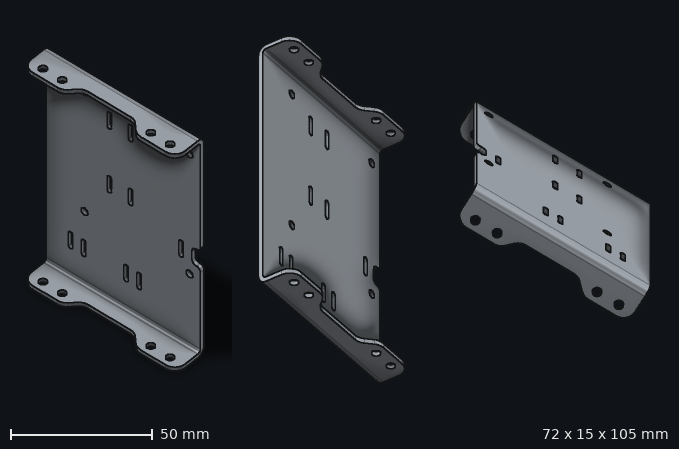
import cadquery as cq
import math

width = 72.0
depth = 15.0
height = 105.0
sheet = 2.0
inner_bend_radius = 1.5
outer_bend_radius = inner_bend_radius + sheet
front_y = -depth / 2

corner_radius = 5.0
relief_depth = 5.5
relief_floor_half_width = 9.9
relief_angle = math.radians(45)
relief_blend_radius = 5.0
flange_hole_diameter = 3.3
flange_hole_inset = 4.0
flange_hole_outer_x = 29.7
flange_hole_spacing = 9.0

plate_hole_diameter = 3.2
plate_hole_right_x = 30.9
plate_hole_top_z = 42.0
plate_hole_spacing_x = 49.0
plate_hole_spacing_z = 58.0

slot_length = 8.0
slot_width = 2.0
upper_slot_xs = (-6.6, 3.4)
upper_slot_zs = (35.2, 4.3)
lower_slot_left_xs = (-24.7, 1.3)
lower_slot_spacing = 6.1
lower_slot_z = -33.8
side_slot_x = 27.0

notch_z = -6.1
notch_depth = 4.0
notch_height = 8.0
notch_radius = notch_depth / 2
mouth_radius = 1.9


def make_channel():
    """Back plate with two forward flanges, bent with constant thickness."""
    outer = cq.Workplane("XY").box(width, depth, height)
    outer = outer.edges("|X and >Y").fillet(outer_bend_radius)
    inner = cq.Workplane("XY").box(width, depth, height - 2 * sheet)
    inner = inner.edges("|X and >Y").fillet(inner_bend_radius)
    channel = outer.cut(inner.translate((0, -sheet, 0)))
    return channel.edges("|Z and <Y").fillet(corner_radius)


def make_flange_relief():
    """Trapezoidal front relief whose sloped sides blend in with tangent arcs."""
    floor_y = front_y + relief_depth
    r = relief_blend_radius
    tangent_length = r * math.tan(relief_angle / 2)
    floor_corner_x = relief_floor_half_width + tangent_length
    mouth_corner_x = floor_corner_x + relief_depth / math.tan(relief_angle)
    mouth_x = mouth_corner_x + tangent_length

    arc_dx = r * math.sin(relief_angle)
    arc_dy = r * (1 - math.cos(relief_angle))
    mid_dx = r * math.sin(relief_angle / 2)
    mid_dy = r * (1 - math.cos(relief_angle / 2))
    floor_x = relief_floor_half_width

    return (
        cq.Workplane("XY")
        .moveTo(-mouth_x, front_y)
        .threePointArc((-mouth_x + mid_dx, front_y + mid_dy), (-mouth_x + arc_dx, front_y + arc_dy))
        .lineTo(-floor_x - arc_dx, floor_y - arc_dy)
        .threePointArc((-floor_x - mid_dx, floor_y - mid_dy), (-floor_x, floor_y))
        .lineTo(floor_x, floor_y)
        .threePointArc((floor_x + mid_dx, floor_y - mid_dy), (floor_x + arc_dx, floor_y - arc_dy))
        .lineTo(mouth_x - arc_dx, front_y + arc_dy)
        .threePointArc((mouth_x - mid_dx, front_y + mid_dy), (mouth_x, front_y))
        .close()
        .extrude(height / 2, both=True)
    )


def make_flange_holes():
    """Two mirrored pairs of holes through both flanges."""
    y = front_y + flange_hole_inset
    inner_x = flange_hole_outer_x - flange_hole_spacing
    points = [(side * x, y) for side in (-1, 1) for x in (inner_x, flange_hole_outer_x)]
    return (
        cq.Workplane("XY")
        .pushPoints(points)
        .circle(flange_hole_diameter / 2)
        .extrude(height / 2, both=True)
    )


def make_plate_holes():
    xs = (plate_hole_right_x - plate_hole_spacing_x, plate_hole_right_x)
    zs = (plate_hole_top_z - plate_hole_spacing_z, plate_hole_top_z)
    return (
        cq.Workplane("XZ")
        .pushPoints([(x, z) for x in xs for z in zs])
        .circle(plate_hole_diameter / 2)
        .extrude(depth / 2, both=True)
    )


def make_plate_slots():
    points = [(x, z) for x in upper_slot_xs for z in upper_slot_zs]
    for left_x in lower_slot_left_xs:
        points.append((left_x, lower_slot_z))
        points.append((left_x + lower_slot_spacing, lower_slot_z))
    points.append((side_slot_x, notch_z))
    return (
        cq.Workplane("XZ")
        .pushPoints(points)
        .slot2D(slot_length, slot_width, 90)
        .extrude(depth / 2, both=True)
    )


def cut_edge_notch(body):
    """Cut the edge notch, then round its inner corners and its mouth."""
    notch = (
        cq.Workplane("XY")
        .box(2 * notch_depth, depth, notch_height)
        .edges("|Y and <X")
        .fillet(notch_radius)
        .translate((width / 2, 0, notch_z))
    )
    mouth_edges = cq.selectors.BoxSelector(
        (width / 2 - notch_radius / 2, -depth, notch_z - notch_height),
        (width / 2 + notch_radius / 2, depth, notch_z + notch_height),
    )
    return body.cut(notch).edges("|Y").edges(mouth_edges).fillet(mouth_radius)


result = make_channel()
result = result.cut(make_flange_relief())
result = result.cut(make_flange_holes())
result = result.cut(make_plate_holes())
result = result.cut(make_plate_slots())
result = cut_edge_notch(result)